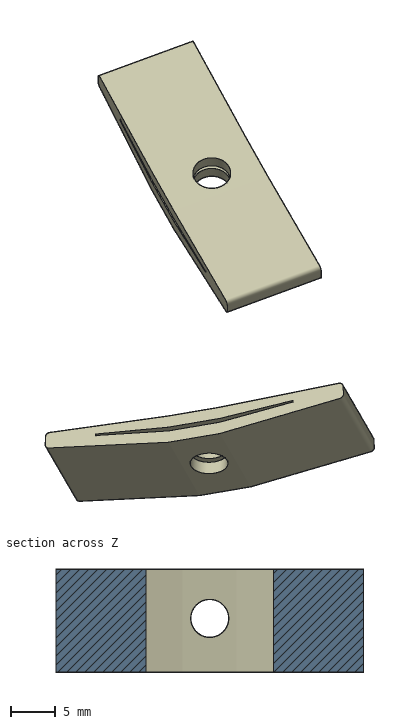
import cadquery as cq
import math

WIDTH = 11.5

LEG_THICKNESS = 1.5
GAP = 0.5
SLOT_FLOOR = LEG_THICKNESS
SLOT_ROOF = SLOT_FLOOR + GAP
MIDDLE_TOP = SLOT_ROOF + LEG_THICKNESS

FLAT_HALF = 3.0
TOP_HALF_LENGTH = 17.35
SLOT_HALF_LENGTH = 11.5

TOP_ANGLE = 2.0
BOTTOM_ANGLE = 7.9
SLOT_ROOF_ANGLE = 4.9
SLOT_FLOOR_ANGLE = 6.9

END_RADIUS = 0.5

HOLE_DIAMETER = 4.2
HOLE_Y = 0.25


def slope(angle):
    """Height gained per unit of horizontal run at the given angle."""
    return math.tan(math.radians(angle))


def wing_height(x, middle_height, angle):
    """Height at x of a wing face that leaves the flat stretch at the given angle."""
    return middle_height + (x - FLAT_HALF) * slope(angle)


def symmetric_prism(right_half):
    """Mirror a half profile about x = 0 and extrude it across the full width."""
    left_half = [(-x, z) for x, z in reversed(right_half)]
    profile = cq.Workplane("XZ").polyline(right_half + left_half).close()
    return profile.extrude(WIDTH / 2, both=True)


def make_body():
    """Shallow bowed bar whose rounded ends stand square to the top wing faces."""
    top_corner_z = wing_height(TOP_HALF_LENGTH, MIDDLE_TOP, TOP_ANGLE)

    lean = slope(TOP_ANGLE)
    drop_above_bottom = top_corner_z - wing_height(TOP_HALF_LENGTH, 0, BOTTOM_ANGLE)
    end_drop = drop_above_bottom / (1 + lean * slope(BOTTOM_ANGLE))
    bottom_corner = (TOP_HALF_LENGTH + end_drop * lean, top_corner_z - end_drop)

    bar = symmetric_prism([
        (FLAT_HALF, 0),
        bottom_corner,
        (TOP_HALF_LENGTH, top_corner_z),
        (FLAT_HALF, MIDDLE_TOP),
    ])
    return bar.faces("<X or >X").edges("|Y").fillet(END_RADIUS)


def make_slot():
    """Tapering slot that splits the bar into an upper and a lower leg."""
    return symmetric_prism([
        (FLAT_HALF, SLOT_FLOOR),
        (SLOT_HALF_LENGTH, wing_height(SLOT_HALF_LENGTH, SLOT_FLOOR, SLOT_FLOOR_ANGLE)),
        (SLOT_HALF_LENGTH, wing_height(SLOT_HALF_LENGTH, SLOT_ROOF, SLOT_ROOF_ANGLE)),
        (FLAT_HALF, SLOT_ROOF),
    ])


def make_hole():
    """Round hole through both legs."""
    hole = cq.Workplane("XY").center(0, HOLE_Y).circle(HOLE_DIAMETER / 2)
    return hole.extrude(MIDDLE_TOP)


result = make_body().cut(make_slot()).cut(make_hole())